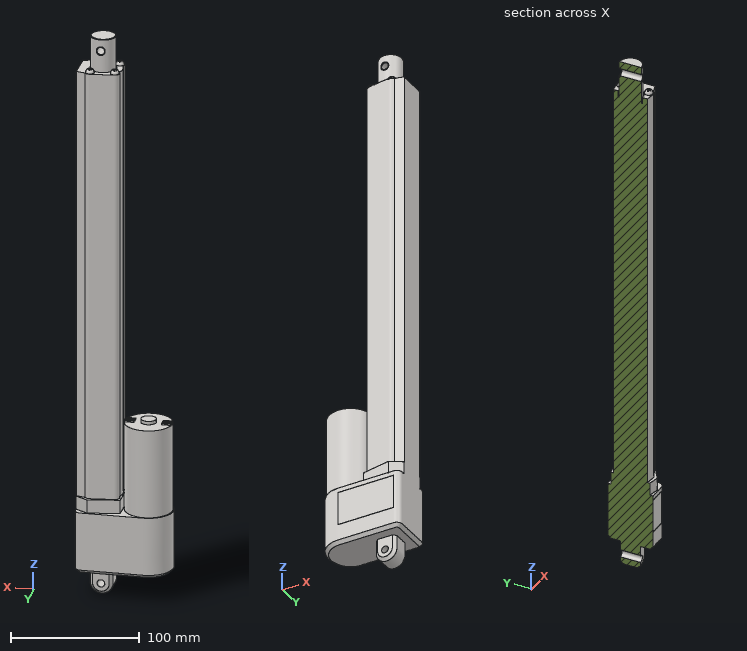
import cadquery as cq
import math


total_length = 464.01
housing_bottom = 20.5
housing_top = 71.0
base_top = 82.0
cap_bottom = 431.0
cap_top = 436.6
motor_top = 143.6

housing_length = 75.04
housing_width = 40.0
motor_end_radius = housing_width / 2
housing_corner_radius = 5.0
housing_chamfer = 2.8
housing_parting = 37.5
motor_offset = 36.0
motor_x = -motor_offset
housing_left = motor_x - motor_end_radius
housing_right = housing_left + housing_length

label_left = motor_x
label_right = housing_right - housing_corner_radius
label_bottom = housing_parting
label_top = 67.0
label_depth = 0.2

motor_diameter = 38.0
motor_boss_diameter = 12.0
motor_boss_height = 2.8
terminal_length = 8.0
terminal_width = 7.0
terminal_height = 1.0
terminal_groove_width = 1.4
terminal_groove_offset = 1.4

core_radius = 15.6
screw_boss_radius = 4.0
motor_side_screw = (-11.2, 9.7)
far_side_screw = (8.0, 12.0)
rail_inner_corner = (11.0, 14.3)
rail_outer_half_width = 12.0

base_left = -16.4
base_left_half_width = 14.2
base_shoulder = (9.0, 19.0)
base_right_half_width = 12.5

screw_head_diameter = 7.0
screw_head_height = 3.4
cross_length = 2.8
cross_width = 0.7
cross_depth = 1.2

rod_diameter = 20.0
rod_bore_diameter = 21.0
rod_chamfer = 0.5
rod_pin_diameter = 6.0
rod_pin_recess_diameter = 7.0
rod_pin_recess_depth = 0.8
rod_pin_inset = 10.0

clevis_width = 18.4
clevis_thickness = 18.0
clevis_chamfer = 2.6
clevis_pin_diameter = 6.0


def prism(outline, bottom, top):
    """Extrude a closed polygon in the XY plane between two heights."""
    return cq.Workplane("XY").workplane(offset=bottom).polyline(outline).close().extrude(top - bottom)


def cylinder(x, y, diameter, bottom, top):
    """Vertical cylinder between two heights."""
    return cq.Workplane("XY").workplane(offset=bottom).center(x, y).circle(diameter / 2).extrude(top - bottom)


def mirrored_outline(upper_points):
    """Close an upper half outline with its mirror image across Y = 0."""
    return upper_points + [(x, -y) for x, y in reversed(upper_points)]


def pin_hole(diameter, height):
    """Cross hole along Y through the rod axis."""
    return cq.Workplane("XZ").center(0, height).circle(diameter / 2).extrude(housing_width, both=True)


def screw_positions():
    return [(x, side * y) for x, y in (motor_side_screw, far_side_screw) for side in (1, -1)]


def make_housing():
    """Rounded housing of two shells, with a shallow label recess in the upper one."""
    body = (
        cq.Workplane("XY").workplane(offset=housing_bottom)
        .moveTo(motor_x, -motor_end_radius)
        .lineTo(housing_right, -motor_end_radius)
        .lineTo(housing_right, motor_end_radius)
        .lineTo(motor_x, motor_end_radius)
        .threePointArc((housing_left, 0), (motor_x, -motor_end_radius))
        .close().extrude(housing_top - housing_bottom)
        .edges("|Z and >X").fillet(housing_corner_radius)
        .faces("<Z").chamfer(housing_chamfer)
    )
    lower_shell = body.intersect(
        cq.Workplane("XY").box(2 * housing_length, 2 * housing_width, 2 * housing_parting)
        .translate((motor_x, 0, 0))
    )
    body = body.cut(lower_shell).union(lower_shell, clean=False)
    label = (
        cq.Workplane("XY")
        .box(label_right - label_left, label_depth, label_top - label_bottom, centered=False)
        .translate((label_left, -housing_width / 2, label_bottom))
    )
    return body.cut(label, clean=False)


def make_terminal(side):
    """Ribbed pad on the motor end face, beside the rim on the -X (side = -1) or +X (side = 1) side."""
    pad_x = motor_x + side * (motor_diameter - terminal_length) / 2
    pad = cq.Workplane("XY").box(terminal_length, terminal_width, terminal_height)
    for groove_y in (-terminal_groove_offset, terminal_groove_offset):
        groove = cq.Workplane("XY").box(terminal_length, terminal_groove_width, terminal_height)
        pad = pad.cut(groove.translate((0, groove_y, 0)))
    pad = pad.translate((pad_x, 0, motor_top + terminal_height / 2))
    return pad.intersect(cylinder(motor_x, 0, motor_diameter, motor_top, motor_top + terminal_height))


def make_motor():
    motor = cylinder(motor_x, 0, motor_diameter, housing_top, motor_top)
    boss = cylinder(motor_x, 0, motor_boss_diameter, motor_top, motor_top + motor_boss_height)
    motor = motor.union(boss)
    for side in (1, -1):
        motor = motor.union(make_terminal(side))
    return motor


def boss_tangent_points():
    """Ends of the flat side wall that is tangent to both screw bosses on the +Y side."""
    run = far_side_screw[0] - motor_side_screw[0]
    rise = far_side_screw[1] - motor_side_screw[1]
    slope = math.atan2(rise, run)
    shift = (-screw_boss_radius * math.sin(slope), screw_boss_radius * math.cos(slope))
    return [(x + shift[0], y + shift[1]) for x, y in (motor_side_screw, far_side_screw)]


def make_profile(bottom, top):
    """Length of the tube profile; its end cap shares the same outline."""
    wall = boss_tangent_points()
    rail_outer = (housing_right, rail_outer_half_width)
    outline = [motor_side_screw, *wall, far_side_screw, rail_inner_corner, rail_outer]
    profile = prism(mirrored_outline(outline), bottom, top)
    core_window = prism(
        mirrored_outline([(-core_radius, motor_side_screw[1]), motor_side_screw]), bottom, top
    )
    profile = profile.union(cylinder(0, 0, 2 * core_radius, bottom, top).intersect(core_window))
    for x, y in screw_positions():
        profile = profile.union(cylinder(x, y, 2 * screw_boss_radius, bottom, top))
    return profile


def make_cap():
    cap = make_profile(cap_bottom, cap_top)
    return cap.cut(cylinder(0, 0, rod_bore_diameter, cap_bottom, cap_top))


def make_base():
    """Block that carries the tube on the housing."""
    outline = [
        (base_left, base_left_half_width),
        base_shoulder,
        (housing_right, base_right_half_width),
    ]
    return prism(mirrored_outline(outline), housing_top, base_top)


def make_screw_head(x, y):
    """Domed screw head with a cross recess, seated on the cap."""
    half = screw_head_diameter / 2
    dome_radius = (half ** 2 + screw_head_height ** 2) / (2 * screw_head_height)
    head = cq.Workplane("XY").sphere(dome_radius).translate((x, y, cap_top + screw_head_height - dome_radius))
    head = head.intersect(cylinder(x, y, screw_head_diameter, cap_top, cap_top + screw_head_height))
    for length, width in ((cross_length, cross_width), (cross_width, cross_length)):
        slot = (
            cq.Workplane("XY").box(length, width, 2 * cross_depth)
            .translate((x, y, cap_top + screw_head_height))
        )
        head = head.cut(slot)
    return head


def make_rod():
    """Rod with a pin hole that has a shallow recess at both mouths."""
    rod = cylinder(0, 0, rod_diameter, base_top, total_length)
    rod = rod.faces(">Z").chamfer(rod_chamfer)
    pin_height = total_length - rod_pin_inset
    recess_spacing = rod_diameter - 2 * rod_pin_recess_depth
    solid_middle = cq.Workplane("XY").box(rod_diameter, recess_spacing, 2 * total_length)
    recesses = pin_hole(rod_pin_recess_diameter, pin_height).cut(solid_middle)
    return rod.cut(recesses).cut(pin_hole(rod_pin_diameter, pin_height))


def make_clevis():
    """Rounded lug with chamfered rims, its upper end sunk into the housing."""
    half = clevis_width / 2
    root = housing_bottom + clevis_chamfer
    lug = (
        cq.Workplane("XZ").workplane(offset=-clevis_thickness / 2)
        .moveTo(-half, root)
        .lineTo(-half, half)
        .threePointArc((0, 0), (half, half))
        .lineTo(half, root)
        .close().extrude(clevis_thickness)
        .faces("<Y or >Y").chamfer(clevis_chamfer)
    )
    return lug.cut(pin_hole(clevis_pin_diameter, half))


parts = [
    make_motor(),
    make_base(),
    make_profile(base_top, cap_bottom),
    make_cap(),
    *[make_screw_head(x, y) for x, y in screw_positions()],
    make_rod(),
    make_clevis(),
]

result = make_housing()
for part in parts:
    result = result.union(part, clean=False)